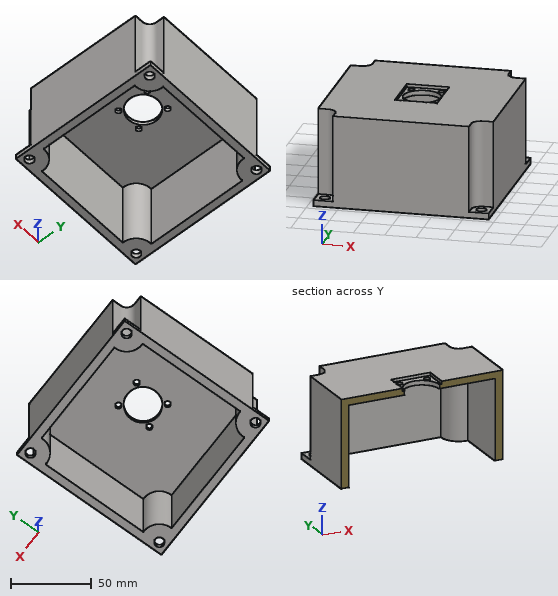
import cadquery as cq

side = 112.0
height = 60.0

foot_thickness = 4.0
notch_size = 12.5
notch_radius = notch_size / 2
foot_hole_diameter = 6.5
foot_hole_inset = 6.0
foot_hole_spacing = side - 2 * foot_hole_inset

wall_thickness = 5.6
roof_thickness = 5.0

seat_x = 27.0
seat_y = 32.0
seat_depth = 2.0
bore_diameter = 24.0
seat_hole_diameter = 4.0
seat_hole_spacing_x = 19.0
seat_hole_spacing_y = 24.0


def vertical_holes(spacing_x, spacing_y, diameter):
    """Four full-height cylinders on a centred rectangle."""
    return (
        cq.Workplane("XY")
        .rect(spacing_x, spacing_y, forConstruction=True)
        .vertices()
        .circle(diameter / 2)
        .extrude(height)
    )


def corner_posts(base, post_height, clearance):
    """Four square posts, each centred on a block corner and rounded on its vertical edges.

    The clearance grows the posts evenly beyond the corner notches.
    """
    post_side = 2 * (notch_size + clearance)
    return (
        cq.Workplane("XY", origin=(0, 0, base))
        .rect(side, side, forConstruction=True)
        .vertices()
        .rect(post_side, post_side)
        .extrude(post_height)
        .edges("|Z")
        .fillet(notch_radius + clearance)
    )


def cavity():
    """Interior that keeps an even wall behind the sides and the corner notches."""
    cavity_side = side - 2 * wall_thickness
    cavity_height = height - roof_thickness
    return (
        cq.Workplane("XY")
        .rect(cavity_side, cavity_side)
        .extrude(cavity_height)
        .cut(corner_posts(0, cavity_height, wall_thickness))
    )


def top_seat():
    """Shallow rectangular recess sunk into the top face."""
    return cq.Workplane("XY", origin=(0, 0, height - seat_depth)).rect(seat_x, seat_y).extrude(seat_depth)


block = cq.Workplane("XY").box(side, side, height, centered=(True, True, False))
bore = cq.Workplane("XY").circle(bore_diameter / 2).extrude(height)

result = (
    block
    .cut(corner_posts(foot_thickness, height - foot_thickness, 0))
    .cut(cavity())
    .cut(vertical_holes(foot_hole_spacing, foot_hole_spacing, foot_hole_diameter))
    .cut(top_seat())
    .cut(bore)
    .cut(vertical_holes(seat_hole_spacing_x, seat_hole_spacing_y, seat_hole_diameter))
)